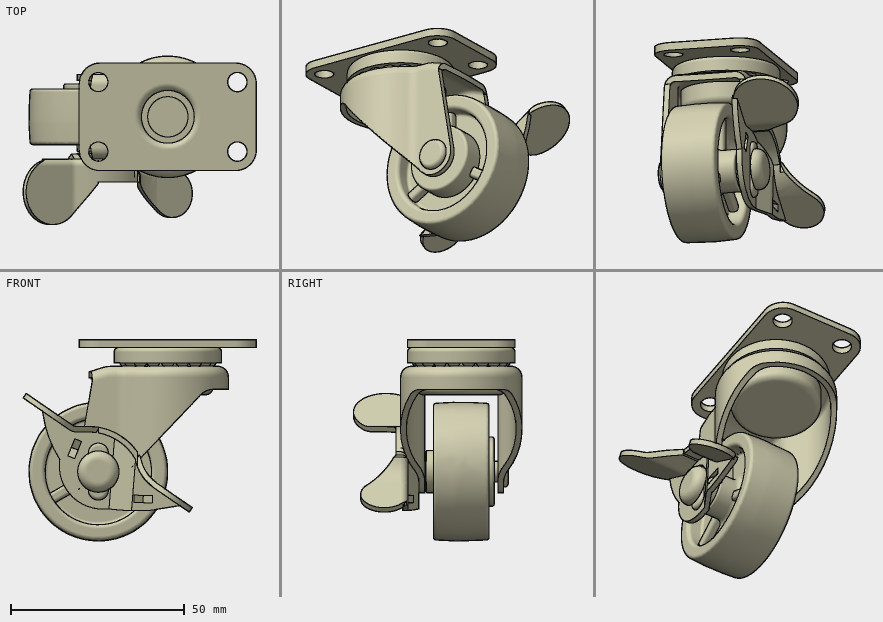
import cadquery as cq
import math


plate_length, plate_width, plate_thick, plate_corner = 51.0, 31.0, 2.3, 6.0
bolt_pitch_x, bolt_pitch_y, bolt_hole_dia = 40.0, 20.0, 5.5
dish_radius, dish_round = 7.6, 1.95

kingpin_radius = 5.8
race_radius, race_height, race_round = 15.5, 4.4, 1.3
ball_count, ball_radius, ball_circle_radius, ball_z = 18, 2.0, 12.2, -6.05
cup_radius, cup_bottom, cup_round = 13.0, -15.9, 2.1

axle_x, axle_z, axle_radius = -20.0, -38.0, 3.0

sheet = 1.7
fork_top, fork_radius, fork_half_width = -7.65, 17.5, 12.2
fork_round = 3.2
blend_start_x = -14.6
fork_skirt_z = -14.3
notch_start, notch_middle, notch_end = (12.9, fork_skirt_z), (11.1, -14.75), (9.4, -16.0)
tongue_bend_x, tongue_bend_radius, tongue_angle = -16.0, 10.2, 18.0
tongue_tip_x, tongue_side_x = -22.8, -21.7
tongue_base_z = -11.4
leg_end_radius = 6.1

wheel_radius, shoulder_radius, wheel_half_width, tread_round = 20.0, 19.65, 8.05, 0.9
rim_radius, rim_lip_round, recess_floor, floor_round = 15.3, 1.2, 3.2, 0.8
hub_radius, hub_back_y, hub_round = 10.0, 9.5, 0.7
nose_radius, nose_y, nose_round, nose_foot_round = 6.15, -10.1, 0.5, 1.8
rib_count, rib_width, rib_height, rib_round = 3, 3.1, 2.4, 0.95
rib_root = 0.5

lever_sheet, jog = 1.6, 3.1
lever_back = -fork_half_width
lever_front = lever_back - lever_sheet
jog_start_x, jog_knee_x, jog_end_x = 3.9, 9.4, 10.4
jog_knee, jog_tilt = 2.75, 4.5
flange_top = 12.2
crown_start_x, crown_radius, crown_end_angle = -2.8, 16.3, math.radians(29.5)
hollow_radius = 12.0
flange_tilt = math.radians(34.5)
front_corner_x, front_bend_radius = -7.15, 3.0
flange_start_x, flange_end_x = -24.0, 30.0
flange_y = -18.8
tab_line_offset = 6.0
front_tab_radius, front_tab_x = 9.42, -13.46
rear_tab_radius, rear_tab_x = 6.84, 21.0
fold_radius = 2.0

dimple_length, dimple_width, dimple_depth = 5.3, 2.1, 1.5
dimples = ((-6.8, 6.6, 68, 0), (12.9, -7.9, -2, jog))

plate_left_x, plate_right_x = -16.2, 24.6
plate_rear_corner = (15.4, -11.1)
plate_bottom_middle, plate_bottom_end = (8.6, -11.2), (2.7, -10.7)
plate_front_middle, plate_front_end = (-7.8, -6.9), (-11.1, 3.5)
plate_neck_middle = (-14.4, 10.3)

boss_half_length, boss_radius, boss_height, boss_round = 8.2, 2.9, 1.05, 1.0
front_head_radius, front_head_height, front_head_round = 5.95, 3.05, 2.7
back_head_radius, back_head_height, back_head_round = 4.5, 1.35, 1.2

BIG = 100.0


def tangent_point(center, radius, point, side):
    """Where the line from `point` touches a circle; side +1 or -1 picks the tangent."""
    dx, dy = point[0] - center[0], point[1] - center[1]
    angle = math.atan2(dy, dx) + side * math.acos(radius / math.hypot(dx, dy))
    return center[0] + radius * math.cos(angle), center[1] + radius * math.sin(angle)


def polar(radius, angle, center=(0.0, 0.0)):
    return center[0] + radius * math.cos(angle), center[1] + radius * math.sin(angle)


def side_plane(y):
    """XZ workplane centred on the axle; extruding goes toward -Y."""
    return cq.Workplane("XZ", origin=(axle_x, y, axle_z))


def make_plate():
    plate = (
        cq.Workplane("XY")
        .box(plate_length, plate_width, plate_thick, centered=(True, True, False))
        .translate((0, 0, -plate_thick))
        .edges("|Z")
        .fillet(plate_corner)
    )
    plate = plate.faces(">Z").workplane().rarray(bolt_pitch_x, bolt_pitch_y, 2, 2).hole(bolt_hole_dia)
    plate = plate.cut(cq.Workplane("XY").circle(dish_radius).extrude(-plate_thick))
    reach, slack = dish_radius + 1, 0.1
    rim = cq.selectors.BoxSelector((-reach, -reach, -slack), (reach, reach, slack))
    return plate.edges(rim).fillet(dish_round)


def make_swivel():
    swivel = (
        cq.Workplane("XY", origin=(0, 0, -plate_thick))
        .circle(race_radius)
        .extrude(-race_height)
        .faces(">Z")
        .edges()
        .fillet(race_round)
    )
    swivel = swivel.union(cq.Workplane("XY").circle(kingpin_radius).extrude(cup_bottom))
    cup = (
        cq.Workplane("XY", origin=(0, 0, fork_top - sheet))
        .circle(cup_radius)
        .extrude(cup_bottom - fork_top + sheet)
        .faces("<Z")
        .edges()
        .fillet(cup_round)
    )
    swivel = swivel.union(cup)
    for i in range(ball_count):
        x, y = polar(ball_circle_radius, 2 * math.pi * (i + 0.5) / ball_count + math.pi)
        swivel = swivel.union(cq.Workplane("XY").sphere(ball_radius).translate((x, y, ball_z)))
    return swivel


def fork_block(inset):
    """Solid fork envelope, shrunk by `inset` on the top and sides."""
    radius, half_width, top = fork_radius - inset, fork_half_width - inset, fork_top - inset
    flare = (blend_start_x**2 + fork_half_width**2 - fork_radius**2) / (
        2 * (fork_radius - fork_half_width)
    )
    flare_center_y = fork_half_width + flare
    flare_angle = math.atan2(flare_center_y, blend_start_x)
    flare_end = polar(radius, flare_angle)
    middle_angle = (flare_angle - math.pi - math.pi / 2) / 2
    flare_middle = polar(flare + inset, middle_angle, (blend_start_x, flare_center_y))
    front, base, margin = -30.0, axle_z - 10, 5.0
    block = (
        cq.Workplane("XY", origin=(0, 0, base))
        .moveTo(front, half_width)
        .lineTo(blend_start_x, half_width)
        .threePointArc(flare_middle, flare_end)
        .threePointArc((radius, 0), (flare_end[0], -flare_end[1]))
        .threePointArc((flare_middle[0], -flare_middle[1]), (blend_start_x, -half_width))
        .lineTo(front, -half_width)
        .close()
        .extrude(top - base)
    )
    tilt = math.radians(tongue_angle)
    bend = tongue_bend_radius - inset
    bend_center = (tongue_bend_x, top - bend)
    bend_end = polar(bend, math.pi / 2 + tilt, bend_center)
    bend_middle = polar(bend, math.pi / 2 + tilt / 2, bend_center)
    drop = (bend_end[0] - front) * math.tan(tilt)
    above_tongue = (
        cq.Workplane("XZ")
        .moveTo(tongue_bend_x, top)
        .threePointArc(bend_middle, bend_end)
        .lineTo(front, bend_end[1] - drop)
        .lineTo(front, top + margin)
        .lineTo(tongue_bend_x, top + margin)
        .close()
        .extrude(BIG, both=True)
    )
    block = block.cut(above_tongue)
    return block.faces(">Z").edges("not(|Y)").fillet(fork_round - inset)


def fork_side_outline():
    """Prism along Y that trims the fork to its side shape."""
    margin = 1.0
    leg = (axle_x, axle_z)
    leg_top = (tongue_side_x, tongue_base_z)
    front_tangent = tangent_point(leg, leg_end_radius, leg_top, 1)
    back_tangent = tangent_point(leg, leg_end_radius, notch_end, -1)
    return (
        cq.Workplane("XZ")
        .moveTo(*front_tangent)
        .lineTo(*leg_top)
        .lineTo(tongue_tip_x - margin, tongue_base_z)
        .lineTo(tongue_tip_x - margin, 0)
        .lineTo(fork_radius + margin, 0)
        .lineTo(fork_radius + margin, fork_skirt_z)
        .lineTo(*notch_start)
        .threePointArc(notch_middle, notch_end)
        .lineTo(*back_tangent)
        .threePointArc((axle_x, axle_z - leg_end_radius), front_tangent)
        .close()
        .extrude(BIG, both=True)
    )


def make_fork():
    fork = fork_block(0).cut(fork_block(sheet)).intersect(fork_side_outline())
    margin = 5.0
    beyond_tongue = (
        cq.Workplane("XY", origin=(0, 0, tongue_base_z))
        .moveTo(tongue_side_x, fork_half_width)
        .threePointArc((tongue_tip_x, 0), (tongue_side_x, -fork_half_width))
        .lineTo(tongue_tip_x - margin, -fork_half_width)
        .lineTo(tongue_tip_x - margin, fork_half_width)
        .close()
        .extrude(-tongue_base_z)
    )
    fork = fork.cut(beyond_tongue)
    fork = fork.cut(cq.Workplane("XY").circle(kingpin_radius).extrude(-BIG))
    ball_groove = cq.Solid.makeTorus(ball_circle_radius, ball_radius, cq.Vector(0, 0, ball_z))
    fork = fork.cut(cq.Workplane(ball_groove))
    return fork.cut(side_plane(0).circle(axle_radius).extrude(BIG, both=True))


def circle_edges(body, radius, y):
    return body.edges("%CIRCLE").filter(
        lambda edge: abs(edge.radius() - radius) < 0.01 and abs(edge.Center().y - y) < 0.01
    )


def make_wheel():
    side = wheel_half_width
    wheel = (
        cq.Workplane("XY", origin=(axle_x, 0, axle_z))
        .moveTo(axle_radius, nose_y)
        .lineTo(nose_radius, nose_y)
        .lineTo(nose_radius, -recess_floor)
        .lineTo(rim_radius, -recess_floor)
        .lineTo(rim_radius, -side)
        .lineTo(shoulder_radius, -side)
        .threePointArc((wheel_radius, 0), (shoulder_radius, side))
        .lineTo(rim_radius, side)
        .lineTo(rim_radius, recess_floor)
        .lineTo(hub_radius, recess_floor)
        .lineTo(hub_radius, hub_back_y)
        .lineTo(axle_radius, hub_back_y)
        .close()
        .revolve(360, (0, 0, 0), (0, 1, 0))
    )
    wheel = circle_edges(wheel, hub_radius, hub_back_y).fillet(hub_round)
    wheel = circle_edges(wheel, nose_radius, nose_y).fillet(nose_round)
    wheel = circle_edges(wheel, nose_radius, -recess_floor).fillet(nose_foot_round)
    for y_side in (-1, 1):
        wheel = circle_edges(wheel, shoulder_radius, y_side * side).fillet(tread_round)
        wheel = circle_edges(wheel, rim_radius, y_side * side).fillet(rim_lip_round)
        wheel = circle_edges(wheel, rim_radius, y_side * recess_floor).fillet(floor_round)
    rib_start, rib_end = nose_radius - rib_root, rim_radius + rib_root
    rib_middle_y = recess_floor + (rib_height - rib_root) / 2
    rib_angle = -90
    for y_side in (-1, 1):
        for i in range(rib_count):
            rib = (
                cq.Workplane("XY")
                .box(rib_end - rib_start, rib_height + rib_root, rib_width)
                .faces("<Y" if y_side < 0 else ">Y")
                .edges("|X")
                .fillet(rib_round)
                .translate(((rib_start + rib_end) / 2, y_side * rib_middle_y, 0))
                .rotate((0, 0, 0), (0, 1, 0), rib_angle + 360 / rib_count * i)
                .translate((axle_x, 0, axle_z))
            )
            wheel = wheel.union(rib)
    return wheel


tab_along = (math.cos(flange_tilt), -math.sin(flange_tilt))
tab_normal = (math.sin(flange_tilt), math.cos(flange_tilt))


def front_tab_point(x):
    """Point of the front tab's mid line at x from the axle."""
    return x, flange_top + (front_corner_x - x) * math.tan(flange_tilt)


def rear_tab_point(x):
    """Point of the rear tab's mid line at x from the axle."""
    return x, (tab_line_offset - x * tab_normal[0]) / tab_normal[1]


def flange_path(start_x, end_x):
    """Middle line of the flange, from the front tab over the axle to the rear tab."""
    bend_trim = front_bend_radius * math.tan(flange_tilt / 2)
    bend_start = front_tab_point(front_corner_x - bend_trim * tab_along[0])
    bend_end = (front_corner_x + bend_trim, flange_top)
    bend_center = (bend_end[0], flange_top + front_bend_radius)
    bend_middle = polar(front_bend_radius, -math.pi / 2 - flange_tilt / 2, bend_center)
    crown_center = (crown_start_x, flange_top - crown_radius)
    crown_end = polar(crown_radius, crown_end_angle, crown_center)
    crown_middle = polar(crown_radius, (math.pi / 2 + crown_end_angle) / 2, crown_center)
    rise = tab_line_offset + hollow_radius
    rise_left = rise - crown_end[0] * tab_normal[0] - crown_end[1] * tab_normal[1]
    run = crown_end[0] * tab_along[0] + crown_end[1] * tab_along[1]
    run += math.sqrt(hollow_radius**2 - rise_left**2)
    hollow_center = (
        rise * tab_normal[0] + run * tab_along[0],
        rise * tab_normal[1] + run * tab_along[1],
    )
    start_angle = math.atan2(crown_end[1] - hollow_center[1], crown_end[0] - hollow_center[0])
    end_angle = -math.pi / 2 - flange_tilt
    start_angle -= 2 * math.pi * (start_angle > 0)
    hollow_middle = polar(hollow_radius, (start_angle + end_angle) / 2, hollow_center)
    return (
        side_plane(0)
        .moveTo(*front_tab_point(start_x))
        .lineTo(*bend_start)
        .threePointArc(bend_middle, bend_end)
        .lineTo(crown_start_x, flange_top)
        .threePointArc(crown_middle, crown_end)
        .threePointArc(hollow_middle, polar(hollow_radius, end_angle, hollow_center))
        .lineTo(*rear_tab_point(end_x))
    )


def jogged_prism(back, front):
    """Sheet between two offsets from the lever's back face, stepped outward across the jog."""
    tilt = math.radians(jog_tilt)
    plane = cq.Plane(
        origin=(axle_x, 0, axle_z),
        xDir=(math.cos(tilt), 0, -math.sin(tilt)),
        normal=(math.sin(tilt), 0, math.cos(tilt)),
    )
    return (
        cq.Workplane(plane)
        .polyline(
            [
                (-BIG, lever_back - back),
                (jog_start_x, lever_back - back),
                (jog_knee_x, lever_back - jog_knee - back),
                (jog_end_x, lever_back - jog - back),
                (BIG, lever_back - jog - back),
                (BIG, lever_back - jog - front),
                (jog_end_x, lever_back - jog - front),
                (jog_knee_x, lever_back - jog_knee - front),
                (jog_start_x, lever_back - front),
                (-BIG, lever_back - front),
            ]
        )
        .close()
        .extrude(BIG, both=True)
    )


def tab_prism(center_xz, center_y, radius, tip_side, root_xz):
    """Prism square to a foot tab: round tip, then a straight edge running to the flange."""
    plane = cq.Plane(
        origin=(axle_x + center_xz[0], center_y, axle_z + center_xz[1]),
        xDir=(tab_along[0], 0, tab_along[1]),
        normal=(tab_normal[0], 0, tab_normal[1]),
    )
    root = (
        (root_xz[0] - center_xz[0]) * tab_along[0] + (root_xz[1] - center_xz[1]) * tab_along[1],
        flange_y - center_y,
    )
    touch = tangent_point((0, 0), radius, root, tip_side)
    return (
        cq.Workplane(plane)
        .moveTo(0, radius)
        .threePointArc((tip_side * radius, 0), touch)
        .lineTo(*root)
        .lineTo(root[0], radius)
        .close()
        .extrude(BIG, both=True)
    )


def dimple(x, z, angle, face_y):
    """V-shaped wedge reaching toward +Y from a face of the lever."""
    turn = math.radians(angle)
    plane = cq.Plane(
        origin=(axle_x + x, face_y, axle_z + z),
        xDir=(math.cos(turn), 0, math.sin(turn)),
        normal=(-math.sin(turn), 0, math.cos(turn)),
    )
    return (
        cq.Workplane(plane)
        .polyline([(-dimple_length / 2, 0), (dimple_length / 2, 0), (0, dimple_depth)])
        .close()
        .extrude(dimple_width / 2, both=True)
    )


def sweep_plane():
    """Plane square to the flange path at its start, +Y to its right and outward up."""
    x, z = front_tab_point(flange_start_x)
    return cq.Plane(
        origin=(axle_x + x, 0, axle_z + z), xDir=(0, 1, 0), normal=(tab_along[0], 0, tab_along[1])
    )


def sweep_along_flange(profile):
    return profile.sweep(flange_path(flange_start_x, flange_end_x), transition="right")


def x_slab(start_x, end_x):
    """Everything between two distances from the axle along X."""
    return side_plane(0).center((start_x + end_x) / 2, 0).rect(end_x - start_x, BIG).extrude(BIG)


def make_flange():
    depth = 2 * front_tab_radius + 3.0
    profile = cq.Workplane(sweep_plane()).center(lever_back - depth / 2, 0).rect(depth, lever_sheet)
    strip = sweep_along_flange(profile)
    front_root_x = 0.0
    rear_root_x, rear_root_z = 11.2, 4.0
    middle = side_plane(0).center((front_root_x + rear_root_x) / 2, 0).rect(
        rear_root_x - front_root_x, BIG
    ).extrude(-flange_y)
    front_tab = tab_prism(
        front_tab_point(front_tab_x),
        lever_back - front_tab_radius,
        front_tab_radius,
        -1,
        (front_root_x, flange_top),
    ).intersect(x_slab(-BIG, front_root_x))
    rear_tab = tab_prism(
        rear_tab_point(rear_tab_x),
        lever_back - jog - rear_tab_radius,
        rear_tab_radius,
        1,
        (rear_root_x, rear_root_z),
    ).intersect(x_slab(rear_root_x, BIG))
    flange = strip.intersect(middle)
    flange = flange.union(strip.intersect(front_tab)).union(strip.intersect(rear_tab))
    return flange.cut(jogged_prism(-BIG, 0))


def fold_cutter(back):
    """Waste outside the rounded fold where the flange leaves a plate with its back at `back`."""
    outer, margin = lever_sheet / 2, 1.0
    middle = polar(fold_radius, math.pi / 4, (back - fold_radius, outer - fold_radius))
    return sweep_along_flange(
        cq.Workplane(sweep_plane())
        .moveTo(back - fold_radius, outer)
        .threePointArc(middle, (back, outer - fold_radius))
        .lineTo(back + margin, outer - fold_radius)
        .lineTo(back + margin, outer + margin)
        .lineTo(back - fold_radius, outer + margin)
        .close()
    )


def make_lever():
    outline = (
        flange_path(plate_left_x, plate_right_x)
        .lineTo(*plate_rear_corner)
        .threePointArc(plate_bottom_middle, plate_bottom_end)
        .threePointArc(plate_front_middle, plate_front_end)
        .threePointArc(plate_neck_middle, front_tab_point(plate_left_x))
        .close()
        .extrude(BIG, both=True)
    )
    lever = jogged_prism(0, lever_sheet).intersect(outline).union(make_flange())
    lever = lever.cut(fold_cutter(lever_back))
    lever = lever.cut(fold_cutter(lever_back - jog).intersect(x_slab(jog_end_x, BIG)))
    for x, z, angle, step in dimples:
        lever = lever.union(dimple(x, z, angle, lever_back - step))
        lever = lever.cut(dimple(x, z, angle, lever_front - step))
    boss = (
        side_plane(lever_front)
        .slot2D(2 * boss_half_length, 2 * boss_radius, 90)
        .extrude(boss_height)
        .faces("<Y")
        .edges()
        .fillet(boss_round)
    )
    lever = lever.union(boss)
    return lever.cut(side_plane(0).circle(axle_radius).extrude(BIG))


def make_axle():
    front_seat = lever_front - boss_height
    shank = side_plane(fork_half_width).circle(axle_radius).extrude(fork_half_width - front_seat)
    front_head = (
        side_plane(front_seat)
        .circle(front_head_radius)
        .extrude(front_head_height)
        .faces("<Y")
        .edges()
        .fillet(front_head_round)
    )
    back_head = (
        side_plane(fork_half_width)
        .circle(back_head_radius)
        .extrude(-back_head_height)
        .faces(">Y")
        .edges()
        .fillet(back_head_round)
    )
    return shank.union(front_head).union(back_head)


plate = make_plate()
swivel = make_swivel()
fork = make_fork()
wheel = make_wheel()
axle = make_axle()
lever = make_lever().cut(fork).cut(axle)

bodies = [plate, swivel, fork, wheel, axle, lever]
result = cq.Compound.makeCompound([body.solids().val() for body in bodies])